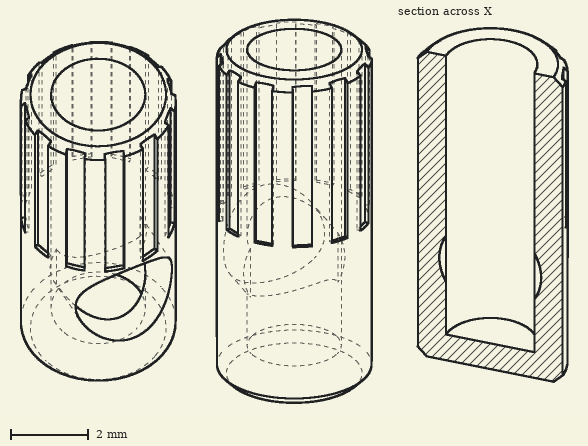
import cadquery as cq

outer_diameter = 4.0
length = 9.3
end_chamfer = 0.25
outer_radius = outer_diameter / 2

bore_diameter = 2.43
bore_floor_thickness = 0.8
bore_depth = length - bore_floor_thickness

groove_count = 12
groove_width = 0.5
groove_depth = 0.12
groove_bottom_z = 4.6
groove_pitch_angle = 360 / groove_count
groove_start_angle = groove_pitch_angle / 2

side_hole_diameter = 2.8
side_hole_z = 3.1


def make_body():
    """Plain cylinder with both end edges chamfered."""
    cylinder = cq.Workplane("XY").circle(outer_radius).extrude(length)
    return cylinder.faces("<Z or >Z").chamfer(end_chamfer)


def make_bore():
    """Cylinder that cuts the blind bore down from the top face."""
    floor = cq.Workplane("XY").workplane(offset=length - bore_depth)
    return floor.circle(bore_diameter / 2).extrude(bore_depth)


def make_groove(angle):
    """Box that cuts one flat-bottomed groove at the given angle about Z."""
    floor_radius = outer_radius - groove_depth
    cutter = cq.Workplane("XY").box(
        outer_radius,
        groove_width,
        length - groove_bottom_z,
        centered=(False, True, False),
    )
    cutter = cutter.translate((floor_radius, 0, groove_bottom_z))
    return cutter.rotate((0, 0, 0), (0, 0, 1), angle)


def make_side_hole():
    """Cylinder that cuts the radial hole from the axis out through the +X side."""
    hole_plane = cq.Workplane("YZ").center(0, side_hole_z)
    return hole_plane.circle(side_hole_diameter / 2).extrude(outer_diameter)


result = make_body().cut(make_bore())
for groove_index in range(groove_count):
    result = result.cut(make_groove(groove_start_angle + groove_index * groove_pitch_angle))
result = result.cut(make_side_hole())